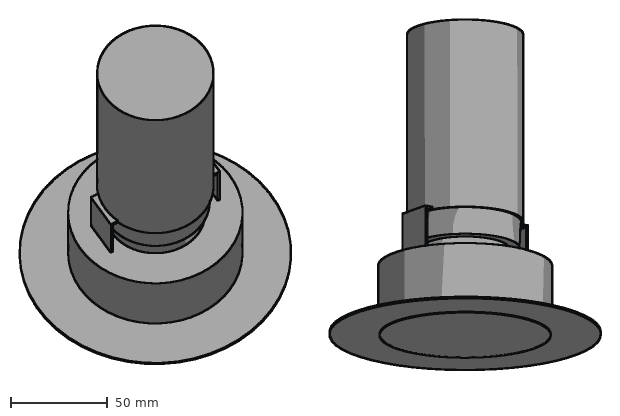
import cadquery as cq

total_height = 160.6

drum_diameter = 90.0
drum_top = 37.0
flange_diameter = 140.0
flange_bottom = 0.5
flange_thickness = 1.0
lip_diameter = 88.3

cylinder_diameter = 60.0
cylinder_bottom = 60.5
collar_top_radius = 28.9
collar_middle_radius = 28.3
collar_bottom_radius = 28.1
collar_bottom = 46.5
neck_top_radius = 22.5
neck_bottom_radius = 25.9

clip_width = 20.0
clip_thickness = 1.3
clip_inner_span = 63.0
clip_inner_end = 27.3


def disc(diameter, bottom, top):
    return cq.Workplane("XY").workplane(offset=bottom).circle(diameter / 2).extrude(top - bottom)


def make_housing():
    flange_top = flange_bottom + flange_thickness
    lip = disc(lip_diameter, 0, flange_bottom)
    flange = disc(flange_diameter, flange_bottom, flange_top)
    drum = disc(drum_diameter, flange_top, drum_top)
    return lip.union(flange).union(drum)


def make_lamp_core():
    """Revolve the cylinder, collar and neck about the Z axis."""
    cylinder_radius = cylinder_diameter / 2
    collar_middle = (collar_bottom + cylinder_bottom) / 2
    return (
        cq.Workplane("XZ")
        .moveTo(0, drum_top)
        .lineTo(neck_bottom_radius, drum_top)
        .lineTo(neck_top_radius, collar_bottom)
        .lineTo(collar_bottom_radius, collar_bottom)
        .threePointArc((collar_middle_radius, collar_middle), (collar_top_radius, cylinder_bottom))
        .lineTo(cylinder_radius, cylinder_bottom)
        .lineTo(cylinder_radius, total_height)
        .lineTo(0, total_height)
        .close()
        .revolve(360, (0, 0, 0), (0, 1, 0))
    )


def make_clip(side):
    """Strap on the side of the lamp given by the sign of Y."""
    inner_face = clip_inner_span / 2
    outer_face = inner_face + clip_thickness
    arm_top = cylinder_bottom + clip_thickness
    return (
        cq.Workplane("YZ")
        .moveTo(side * clip_inner_end, cylinder_bottom)
        .lineTo(side * inner_face, cylinder_bottom)
        .lineTo(side * inner_face, drum_top)
        .lineTo(side * outer_face, drum_top)
        .lineTo(side * outer_face, arm_top)
        .lineTo(side * clip_inner_end, arm_top)
        .close()
        .extrude(clip_width / 2, both=True)
    )


def make_lamp():
    lamp = make_lamp_core()
    for side in (-1, 1):
        lamp = lamp.union(make_clip(side))
    return lamp


housing = make_housing()
lamp = make_lamp()

result = cq.Compound.makeCompound([housing.val(), lamp.val()])